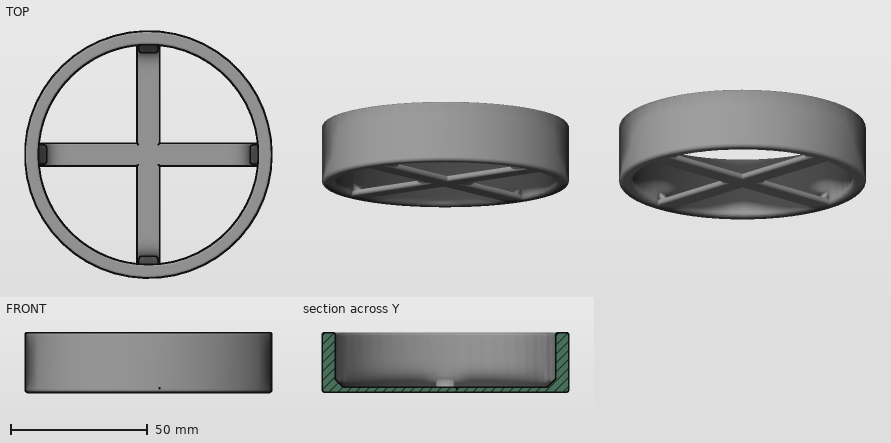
import cadquery as cq

outer_diameter = 90.5
inner_diameter = 80.5
ring_height = 22.0
rim_round = 1.0
base_round = 1.3

arm_width = 8.4
arm_thickness = 2.0
arm_edge_round = 0.6
arm_base_round = 1.0

gusset_reach = 3.0
gusset_height = 3.0
gusset_width = arm_width - 2 * arm_edge_round
gusset_round = 1.0

inner_radius = inner_diameter / 2
wall_middle_diameter = (outer_diameter + inner_diameter) / 2
wall_middle_radius = wall_middle_diameter / 2


def make_ring():
    """Plain ring with its top and bottom edges rounded."""
    ring = cq.Workplane("XY").circle(outer_diameter / 2).circle(inner_radius).extrude(ring_height)
    ring = ring.faces(">Z").edges().fillet(rim_round)
    return ring.faces("<Z").edges().fillet(base_round)


def make_cross():
    """Two crossed arms with rounded top and bottom edges, ending inside the ring wall."""
    lengthwise = cq.Workplane("XY").rect(wall_middle_diameter, arm_width).extrude(arm_thickness)
    crosswise = lengthwise.rotate((0, 0, 0), (0, 0, 1), 90)
    cross = lengthwise.union(crosswise).faces(">Z").edges().fillet(arm_edge_round)
    cross = cross.faces("<Z").edges().fillet(arm_base_round)
    bounds = cq.Workplane("XY").circle(wall_middle_radius).extrude(arm_thickness)
    return cross.intersect(bounds)


def make_gusset():
    """Sloped block on the +X arm, rounded along both sides of its slope."""
    toe = inner_radius - gusset_reach
    top = arm_thickness + gusset_height
    profile = [
        (toe, arm_thickness),
        (inner_radius, top),
        (wall_middle_radius, top),
        (wall_middle_radius, arm_thickness / 2),
        (toe, arm_thickness / 2),
    ]
    gusset = cq.Workplane("XZ").polyline(profile).close().extrude(gusset_width / 2, both=True)
    slope_middle = (inner_radius - gusset_reach / 2, 0, arm_thickness + gusset_height / 2)
    slope = gusset.faces(cq.selectors.NearestToPointSelector(slope_middle))
    return slope.edges("not(|Y)").fillet(gusset_round)


result = make_ring().union(make_cross())
gusset = make_gusset()
for angle in (0, 90, 180, 270):
    result = result.union(gusset.rotate((0, 0, 0), (0, 0, 1), angle))